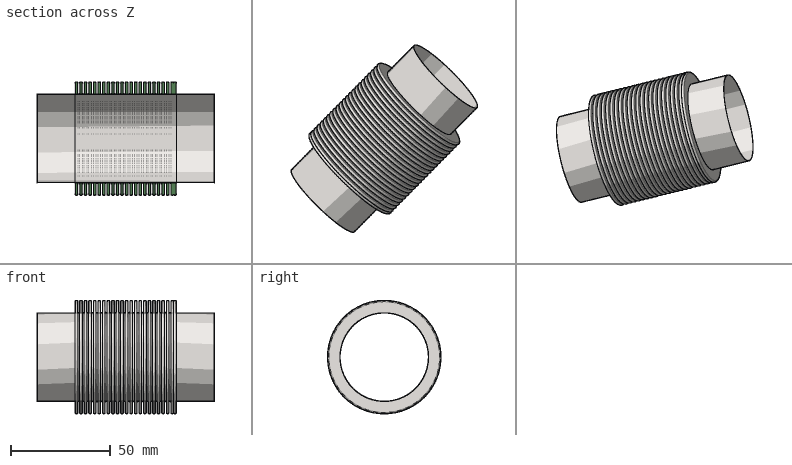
import cadquery as cq

TOTAL_LENGTH = 88.9
BELLOWS_LENGTH = 50.8
TUBE_DIAMETER = 44.45
TUBE_WALL = 0.127
RIB_DIAMETER = 56.96

SPACED_RIB_COUNT = 22
RIB_WIDTH = 1.397
RIB_PITCH = (BELLOWS_LENGTH - 2 * RIB_WIDTH) / (SPACED_RIB_COUNT - 1)

TUBE_RADIUS = TUBE_DIAMETER / 2
BORE_RADIUS = TUBE_RADIUS - TUBE_WALL
CROWN_TOP = RIB_DIAMETER / 2
CROWN_RADIUS = RIB_WIDTH / 2
CROWN_BASE = CROWN_TOP - CROWN_RADIUS
ROOT_WIDTH = RIB_PITCH - RIB_WIDTH
ROOT_RADIUS = ROOT_WIDTH / 2
ROOT_TOP = TUBE_RADIUS + ROOT_RADIUS
BELLOWS_START = -BELLOWS_LENGTH / 2
BELLOWS_END = BELLOWS_LENGTH / 2
AXIS_START = (0, 0, 0)
AXIS_END = (1, 0, 0)


def add_crown(profile, start):
    """Continue the profile over the full-round crown of the rib that begins at X = start."""
    middle = (start + CROWN_RADIUS, CROWN_TOP)
    end = (start + RIB_WIDTH, CROWN_BASE)
    return profile.threePointArc(middle, end)


def add_root(profile, start):
    """Continue the profile down, through a half-round root and up to the next crown."""
    end = start + ROOT_WIDTH
    return (
        profile.lineTo(start, ROOT_TOP)
        .threePointArc((start + ROOT_RADIUS, TUBE_RADIUS), (end, ROOT_TOP))
        .lineTo(end, CROWN_BASE)
    )


def make_tube():
    """Thin sleeve over the full length."""
    return (
        cq.Workplane("YZ")
        .workplane(offset=-TOTAL_LENGTH / 2)
        .circle(TUBE_RADIUS)
        .circle(BORE_RADIUS)
        .extrude(TOTAL_LENGTH)
    )


def make_bellows():
    """Ribs and rounded roots around the bore, revolved about the X axis."""
    profile = (
        cq.Workplane("XZ")
        .moveTo(BELLOWS_START, BORE_RADIUS)
        .lineTo(BELLOWS_START, CROWN_BASE)
    )
    for index in range(SPACED_RIB_COUNT):
        rib_start = BELLOWS_START + index * RIB_PITCH
        if index > 0:
            profile = add_root(profile, rib_start - ROOT_WIDTH)
        profile = add_crown(profile, rib_start)
    profile = add_crown(profile, BELLOWS_END - RIB_WIDTH)
    profile = profile.lineTo(BELLOWS_END, BORE_RADIUS).close()
    return profile.revolve(360, AXIS_START, AXIS_END)


result = make_tube().union(make_bellows())